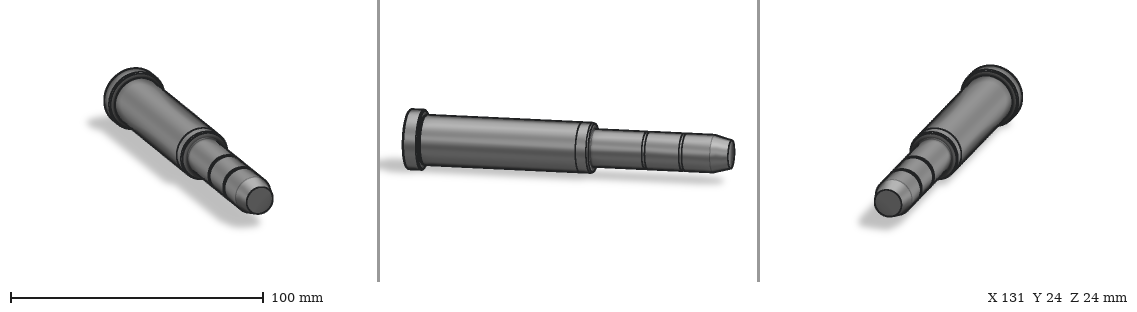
import cadquery as cq
import math

total_length = 131.0

head_diameter = 24.0
head_length = 6.0
head_chamfer = 0.5

body_diameter = 20.0
body_end = 75.0
body_chamfer = 0.8
body_chamfer_depth = 0.4
undercut_width = 0.8
undercut_depth = 0.4

lead_length = 5.1
lead_relief = 0.01

shaft_diameter = 15.0
shoulder_fillet = 0.4
groove_width = 1.2
groove_depth = 0.4
groove_centers = (97.0, 112.0)

tip_length = 7.1
tip_angle = 15.0

head_radius = head_diameter / 2
body_radius = body_diameter / 2
lead_radius = body_radius - lead_relief
lead_start = body_end - lead_length
shaft_radius = shaft_diameter / 2
tip_start = total_length - tip_length
tip_radius = shaft_radius - tip_length * math.tan(math.radians(tip_angle))


def cylinder(start, end, radius):
    """Solid cylinder along X between two stations."""
    return cq.Workplane("YZ").workplane(offset=start).circle(radius).extrude(end - start)


def revolve_about_x(profile):
    """Turn a closed XY profile about the X axis."""
    return profile.close().revolve(360, (0, 0, 0), (1, 0, 0))


def make_head():
    return cylinder(0, head_length, head_radius).edges().chamfer(head_chamfer)


def make_body():
    """Body with an undercut behind the head and a chamfered lead-in."""
    undercut_radius = body_radius - undercut_depth
    undercut_end = head_length + undercut_width
    profile = (
        cq.Workplane("XY")
        .moveTo(head_length, 0)
        .lineTo(head_length, undercut_radius)
        .lineTo(undercut_end - undercut_depth, undercut_radius)
        .lineTo(undercut_end, body_radius)
        .lineTo(lead_start, body_radius)
        .lineTo(lead_start, lead_radius)
        .lineTo(body_end - body_chamfer, lead_radius)
        .lineTo(body_end, lead_radius - body_chamfer_depth)
        .lineTo(body_end, 0)
    )
    return revolve_about_x(profile)


def make_shaft():
    """Shaft with a concave shoulder fillet, round grooves and a tapered tip."""
    fillet_middle = shoulder_fillet * (1 - math.sqrt(0.5))
    profile = (
        cq.Workplane("XY")
        .moveTo(body_end, 0)
        .lineTo(body_end, shaft_radius + shoulder_fillet)
        .threePointArc(
            (body_end + fillet_middle, shaft_radius + fillet_middle),
            (body_end + shoulder_fillet, shaft_radius),
        )
    )
    for center in groove_centers:
        profile = profile.lineTo(center - groove_width / 2, shaft_radius).threePointArc(
            (center, shaft_radius - groove_depth),
            (center + groove_width / 2, shaft_radius),
        )
    profile = (
        profile.lineTo(tip_start, shaft_radius)
        .lineTo(total_length, tip_radius)
        .lineTo(total_length, 0)
    )
    return revolve_about_x(profile)


result = make_head().union(make_body()).union(make_shaft())